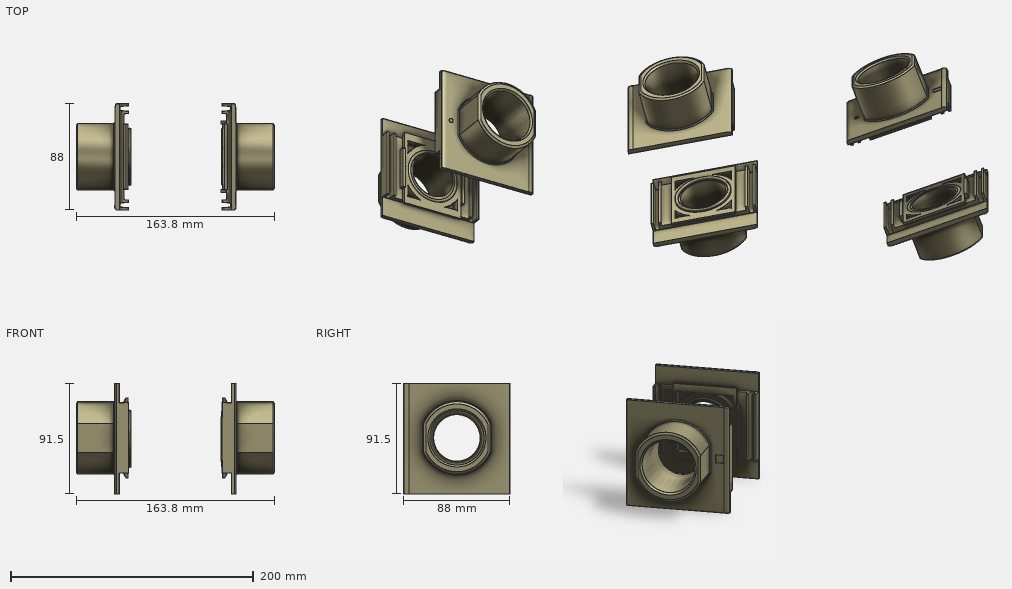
import cadquery as cq
import math


overall_length = 163.8

flange_outer_depth = 32.0
flange_inner_depth = 35.7
base_depth = 39.6
panel_face_depth = 42.9
lip_end_depth = 43.2
rail_end_depth = 44.4

pipe_diameter = 60.0
pipe_flats_width = 55.0
pipe_chamfer_axial = 1.1
pipe_chamfer_radial = 2.0
pipe_root_chamfer = 1.0

bore_diameter = 38.5
bore_mouth_diameter = 44.9
bore_chamfer_diameter = 48.0
bore_chamfer_depth = (bore_chamfer_diameter - bore_mouth_diameter) / 2
bore_cylinder_start = 33.9

flange_width = 88.0
flange_top = 45.0
flange_height = 91.5
flange_centre_z = flange_top - flange_height / 2
flange_bulge_start = 39.6
flange_bulge_drop = 0.8
flange_edge_chamfer = 0.3

clip_half_height = 29.1
leg_inner_offset = 8.4
groove_mouth_width = 4.5
groove_floor_width = 3.3
groove_centre_offset = 4.1
groove_floor_depth = 36.2
groove_floor_fillet = 1.3
leg_root_fillet = 1.0

panel_width = 54.0
hook_half_height = 33.0
hook_tip_thickness = 1.8
hook_root_thickness = 4.0

pocket_half_width = 23.9
pocket_half_height = 26.4
pocket_hub_radius = 28.2

rail_thickness = 2.6
rail_height = 36.4

seal_inner_diameter = 42.0
seal_section = 2.6
seal_outer_diameter = seal_inner_diameter + 2 * seal_section
raised_seal_protrusion = 2.5
sunk_seal_protrusion = 0.8

mark_depth = 0.3
round_mark_diameter = 3.8
round_mark_y = 35.0
square_mark_size = 6.9
square_mark_y = -35.9


def box_between(x_range, y_range, z_range):
    """Box spanning the given pairs of limits."""
    low = [min(pair) for pair in (x_range, y_range, z_range)]
    size = [abs(pair[1] - pair[0]) for pair in (x_range, y_range, z_range)]
    return cq.Workplane("XY").box(*size, centered=False).translate(tuple(low))


def flange_disc(diameter, start, length):
    """Cylinder along X through the centre of the flange."""
    plane = cq.Workplane("YZ", origin=(start, 0, flange_centre_z))
    return plane.circle(diameter / 2).extrude(length)


def flatted_outline(offset, depth):
    """Circle with two flats facing +Y and -Y, grown by an offset, at a depth along the axis."""
    radius = pipe_diameter / 2 + offset
    flat_y = pipe_flats_width / 2 + offset
    flat_z = math.sqrt(radius**2 - flat_y**2)
    return (
        cq.Workplane("YZ", origin=(depth, 0, 0))
        .moveTo(flat_y, -flat_z)
        .lineTo(flat_y, flat_z)
        .threePointArc((0, radius), (-flat_y, flat_z))
        .lineTo(-flat_y, -flat_z)
        .threePointArc((0, -radius), (flat_y, -flat_z))
        .close()
    )


def flatted_taper(start_offset, start, end_offset, end):
    """Frustum between two flatted outlines."""
    start_wire = flatted_outline(start_offset, start).val()
    end_wire = flatted_outline(end_offset, end).val()
    return cq.Workplane(cq.Solid.makeLoft([start_wire, end_wire], True))


def make_pipe():
    """Flatted pipe with a chamfered outer end and a flared root at the flange."""
    root_start = flange_outer_depth - pipe_root_chamfer
    body_length = flange_inner_depth - pipe_chamfer_axial
    body = flatted_outline(0, pipe_chamfer_axial).extrude(body_length)
    end_chamfer = flatted_taper(-pipe_chamfer_radial, 0, 0, pipe_chamfer_axial)
    root_chamfer = flatted_taper(0, root_start, pipe_root_chamfer, flange_outer_depth)
    return body.union(end_chamfer).union(root_chamfer)


def make_flange():
    """Plate whose outer face curves back toward its two side edges."""
    half_width = flange_width / 2
    shoulder_y = half_width - flange_edge_chamfer
    shoulder_x = flange_outer_depth + flange_bulge_drop
    edge_x = shoulder_x + flange_edge_chamfer
    return (
        cq.Workplane("XY", origin=(0, 0, flange_top - flange_height))
        .moveTo(flange_outer_depth, -flange_bulge_start)
        .lineTo(flange_outer_depth, flange_bulge_start)
        .tangentArcPoint((shoulder_x, shoulder_y), relative=False)
        .lineTo(edge_x, half_width)
        .lineTo(flange_inner_depth, half_width)
        .lineTo(flange_inner_depth, -half_width)
        .lineTo(edge_x, -half_width)
        .lineTo(shoulder_x, -shoulder_y)
        .tangentArcPoint((flange_outer_depth, -flange_bulge_start), relative=False)
        .close()
        .extrude(flange_height)
    )


def make_groove(side):
    """Tapered groove between the two lips of a side wall."""
    centre_y = side * (flange_width / 2 - groove_centre_offset)
    return (
        cq.Workplane("XY", origin=(0, centre_y, -clip_half_height))
        .moveTo(groove_floor_depth, -groove_floor_width / 2)
        .lineTo(lip_end_depth, -groove_mouth_width / 2)
        .lineTo(lip_end_depth, groove_mouth_width / 2)
        .lineTo(groove_floor_depth, groove_floor_width / 2)
        .close()
        .extrude(2 * clip_half_height)
        .edges("|Z and <X")
        .fillet(groove_floor_fillet)
    )


def make_clip_base():
    """Block behind the flange with a wide middle channel and a groove in each side wall."""
    half_width = flange_width / 2
    channel_half_width = half_width - leg_inner_offset
    z_range = (-clip_half_height, clip_half_height)
    base = box_between((flange_inner_depth, lip_end_depth), (-half_width, half_width), z_range)
    channel = box_between(
        (base_depth, lip_end_depth), (-channel_half_width, channel_half_width), z_range
    )
    base = base.cut(channel.edges("|Z and <X").fillet(leg_root_fillet))
    for side in (1, -1):
        base = base.cut(make_groove(side))
    return base


def make_panel():
    """Centre panel whose hooks overhang the clip base at top and bottom."""
    profile = [
        (flange_inner_depth, clip_half_height),
        (panel_face_depth - hook_root_thickness, clip_half_height),
        (panel_face_depth - hook_tip_thickness, hook_half_height),
        (panel_face_depth, hook_half_height),
    ]
    mirrored_profile = [(x, -z) for x, z in reversed(profile)]
    return (
        cq.Workplane("XZ")
        .polyline(profile + mirrored_profile)
        .close()
        .extrude(panel_width / 2, both=True)
    )


def make_pockets():
    """Four corner pockets down to the flange, bounded inside by a round hub."""
    depth_range = (flange_inner_depth, panel_face_depth)
    block = box_between(
        depth_range,
        (-pocket_half_width, pocket_half_width),
        (-pocket_half_height, pocket_half_height),
    )
    hub = flange_disc(2 * pocket_hub_radius, depth_range[0], depth_range[1] - depth_range[0])
    return block.cut(hub)


def make_bore():
    """Chamfered mouth, narrowing cone and straight bore."""
    return (
        cq.Workplane("XZ")
        .polyline([
            (0, 0),
            (0, bore_chamfer_diameter / 2),
            (bore_chamfer_depth, bore_mouth_diameter / 2),
            (bore_cylinder_start, bore_diameter / 2),
            (panel_face_depth, bore_diameter / 2),
            (panel_face_depth, 0),
        ])
        .close()
        .revolve(360, (0, 0, 0), (1, 0, 0))
    )


def make_seal_groove(seal_protrusion):
    """Ring groove in the panel face that holds the part of the seal below the face."""
    depth = seal_section - seal_protrusion
    outer = flange_disc(seal_outer_diameter, panel_face_depth - depth, depth)
    return outer.cut(flange_disc(seal_inner_diameter, panel_face_depth - depth, depth))


def make_socket(seal_protrusion):
    """Pipe, flange, clip base and panel in one piece, with pockets, bore and seal groove cut."""
    socket = make_pipe().union(make_flange()).union(make_clip_base()).union(make_panel())
    return socket.cut(make_pockets()).cut(make_bore()).cut(make_seal_groove(seal_protrusion))


def add_rails(socket):
    """Guide rails along both sides of the panel, standing out past its face."""
    inner_y = panel_width / 2
    for side in (1, -1):
        rail = box_between(
            (base_depth, rail_end_depth),
            (side * inner_y, side * (inner_y + rail_thickness)),
            (flange_centre_z - rail_height / 2, flange_centre_z + rail_height / 2),
        )
        socket = socket.union(rail)
    return socket


def cut_marks(socket):
    """Round and square marking recesses in the outer face of the flange."""
    plane = cq.Workplane("YZ", origin=(flange_outer_depth, 0, 0))
    round_mark = plane.center(round_mark_y, 0).circle(round_mark_diameter / 2).extrude(mark_depth)
    square_mark = (
        cq.Workplane("YZ", origin=(flange_outer_depth, square_mark_y, 0))
        .rect(square_mark_size, square_mark_size)
        .extrude(mark_depth)
    )
    return socket.cut(round_mark).cut(square_mark)


def make_seal(seal_protrusion):
    """Round-section ring resting on the floor of its groove."""
    centre_depth = panel_face_depth + seal_protrusion - seal_section / 2
    centre_radius = (seal_inner_diameter + seal_section) / 2
    return (
        cq.Workplane("XY", origin=(0, 0, flange_centre_z))
        .center(centre_depth, centre_radius)
        .circle(seal_section / 2)
        .revolve(360, (0, -centre_radius, 0), (1, -centre_radius, 0))
    )


def place_left(body):
    """Move a body so that its outer end is the -X end of the assembly."""
    return body.translate((-overall_length / 2, 0, 0))


def place_right(body):
    """Mirror image of the left position, at the +X end of the assembly."""
    return place_left(body).mirror("YZ")


left_socket = place_left(cut_marks(make_socket(raised_seal_protrusion)))
left_seal = place_left(make_seal(raised_seal_protrusion))
right_socket = place_right(add_rails(make_socket(sunk_seal_protrusion)))
right_seal = place_right(make_seal(sunk_seal_protrusion))

result = cq.Compound.makeCompound(
    [left_socket.val(), left_seal.val(), right_socket.val(), right_seal.val()]
)